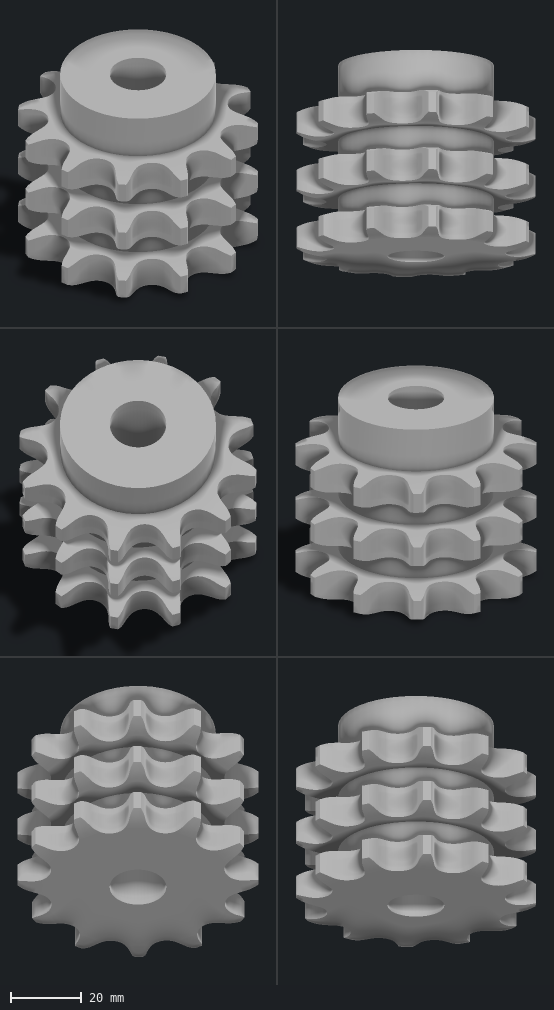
import cadquery as cq
import math


tooth_count = 12
chain_pitch = 15.875
roller_diameter = 10.16
strand_spacing = 16.55
strand_count = 3

tip_radius = 34.0
rim_width = 9.0
rim_side_radius = 16.0
rim_side_relief = 1.6
hub_radius = 22.0
bore_radius = 8.0
total_height = 55.0

tooth_angle = 360.0 / tooth_count
pitch_radius = chain_pitch / 2 / math.sin(math.pi / tooth_count)
rim_side_depth = math.sqrt(rim_side_radius**2 - (rim_side_radius - rim_side_relief) ** 2)
rim_flat_radius = tip_radius - rim_side_depth
toothed_height = (strand_count - 1) * strand_spacing + rim_width
cutter_overrun = 2.0

seating_ratio = 0.5025
seating_clearance = 0.0381
working_ratio = 0.8
topping_ratio = 1.4
seating_angle = math.radians(35 + 60 / tooth_count)
working_angle = math.radians(18 - 56 / tooth_count)
topping_angle = math.radians(17 - 64 / tooth_count)
seating_radius = seating_ratio * roller_diameter + seating_clearance
working_offset = working_ratio * roller_diameter
topping_offset = topping_ratio * roller_diameter
working_radius = seating_radius + working_offset
straight_length = topping_offset * math.sin(topping_angle) - working_offset * math.sin(working_angle)
topping_radius = (
    working_offset * math.cos(working_angle) + topping_offset * math.cos(topping_angle) - working_radius
)


def polar_offset(point, distance, angle):
    """Point at a distance and angle (radians) from another point."""
    return (point[0] + distance * math.cos(angle), point[1] + distance * math.sin(angle))


def mirrored(point):
    """Mirror image across the gap centreline (the X axis)."""
    return (point[0], -point[1])


def rim(base_z):
    """Solid disc whose sides curve in towards the tip circle."""
    top_z = base_z + rim_width
    middle_radius = rim_flat_radius + rim_side_depth / 2
    middle_relief = rim_side_radius - math.sqrt(rim_side_radius**2 - (rim_side_depth / 2) ** 2)
    section = (
        cq.Workplane("XZ")
        .moveTo(0, base_z)
        .lineTo(rim_flat_radius, base_z)
        .threePointArc((middle_radius, base_z + middle_relief), (tip_radius, base_z + rim_side_relief))
        .lineTo(tip_radius, top_z - rim_side_relief)
        .threePointArc((middle_radius, top_z - middle_relief), (rim_flat_radius, top_z))
        .lineTo(0, top_z)
        .close()
    )
    return section.revolve(360, (0, 0, 0), (0, 1, 0))


def tooth_gap():
    """Cutter for the gap centred on the +X axis, through all rims."""
    seat_end_angle = math.pi / 2 + seating_angle
    flank_end_angle = seat_end_angle - working_angle

    roller_center = (pitch_radius, 0)
    working_center = polar_offset(roller_center, -working_offset, seat_end_angle)
    root = (pitch_radius - seating_radius, 0)
    seat_end = polar_offset(roller_center, seating_radius, seat_end_angle)
    working_middle = polar_offset(working_center, working_radius, seat_end_angle - working_angle / 2)
    working_end = polar_offset(working_center, working_radius, flank_end_angle)
    straight_end = polar_offset(working_end, straight_length, flank_end_angle - math.pi / 2)
    topping_center = polar_offset(straight_end, topping_radius, flank_end_angle)

    center_distance = math.hypot(*topping_center)
    center_angle = math.atan2(topping_center[1], topping_center[0])
    tip_offset_angle = math.acos(
        (tip_radius**2 + center_distance**2 - topping_radius**2) / (2 * tip_radius * center_distance)
    )
    tip = polar_offset((0, 0), tip_radius, center_angle - tip_offset_angle)
    topping_start_angle = flank_end_angle - math.pi
    topping_end_angle = math.atan2(tip[1] - topping_center[1], tip[0] - topping_center[0])
    topping_middle_angle = (topping_start_angle + topping_end_angle) / 2
    topping_middle = polar_offset(topping_center, topping_radius, topping_middle_angle)
    outside = (tip[0] + cutter_overrun, tip[1])

    outline = (
        cq.Workplane("XY")
        .moveTo(*mirrored(seat_end))
        .threePointArc(root, seat_end)
        .threePointArc(working_middle, working_end)
        .lineTo(*straight_end)
        .threePointArc(topping_middle, tip)
        .lineTo(*outside)
        .lineTo(*mirrored(outside))
        .lineTo(*mirrored(tip))
        .threePointArc(mirrored(topping_middle), mirrored(straight_end))
        .lineTo(*mirrored(working_end))
        .threePointArc(mirrored(working_middle), mirrored(seat_end))
        .close()
    )
    return outline.extrude(toothed_height)


body = cq.Workplane("XY").circle(hub_radius).extrude(total_height)
for strand in range(strand_count):
    body = body.union(rim(strand * strand_spacing))

gap = tooth_gap()
for index in range(tooth_count):
    body = body.cut(gap.rotate((0, 0, 0), (0, 0, 1), index * tooth_angle))

bore = cq.Workplane("XY").circle(bore_radius).extrude(total_height)
result = body.cut(bore)